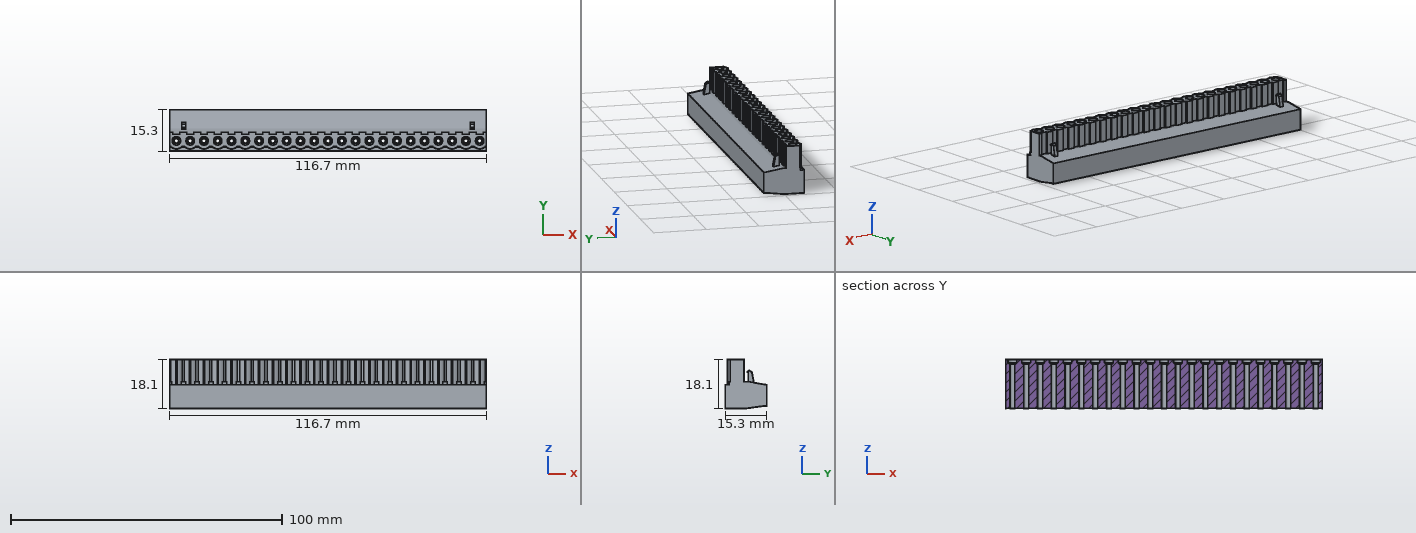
import cadquery as cq
import math

length = 116.73
depth = 15.33
height = 18.15

pole_count = 23
pitch = 5.08
end_margin = (length - (pole_count - 1) * pitch) / 2
pole_positions = [end_margin + index * pitch for index in range(pole_count)]

ledge_z = 8.8
deck_z = 9.9
deck_rear_y = 8.45
deck_slope = math.radians(9.5)
rear_top_z = deck_z - (depth - deck_rear_y) * math.tan(deck_slope)
underside_slope_start_y = 7.8
underside_slope_end_y = 14.0
rear_bottom_z = 0.85

valley_front_y = 1.76
web_front_y = 1.4
tower_rear_y = 6.95
rear_notch_depth = 0.7
rear_notch_width = pitch / 2
hole_y = 3.8
lobe_radius = 2.95
rib_width = 0.5
rib_front_y = 0.7

hole_diameter = 1.7
bore_diameter = 3.1
bore_depth = 1.2

hook_width = 1.5
hook_end_offset = 4.4
hook_root_rear_y = 10.6
hook_shoulder_rear_y = 9.85
hook_tip_y = 8.8
hook_barb_y = 8.05
hook_front_y = 8.4
hook_shoulder_z = 13.4
hook_tip_z = 14.1
hook_embed_z = ledge_z


def extrude_profile(points, start_x, width):
    """Extrude a closed (Y, Z) outline along +X from start_x."""
    return cq.Workplane("YZ").workplane(offset=start_x).polyline(points).close().extrude(width)


def box_between(x_range, y_range, z_range):
    """Axis-aligned box given by its lower and upper limits."""
    sizes = [upper - lower for lower, upper in (x_range, y_range, z_range)]
    corner = (x_range[0], y_range[0], z_range[0])
    return cq.Workplane("XY").box(*sizes, centered=False).translate(corner)


def make_base():
    outline = [
        (0, 0),
        (underside_slope_start_y, 0),
        (underside_slope_end_y, rear_bottom_z),
        (depth, rear_bottom_z),
        (depth, rear_top_z),
        (deck_rear_y, deck_z),
        (tower_rear_y, deck_z),
        (tower_rear_y, ledge_z),
        (0, ledge_z),
    ]
    return extrude_profile(outline, 0, length)


def lobe_half_width(front_y):
    """Half the width along X of a round lobe where it crosses the plane Y = front_y."""
    return math.sqrt(lobe_radius**2 - (hole_y - front_y) ** 2)


def make_lobe(center_x):
    """Round front of one pole, standing out from the valleys, with a narrow rib at its tip."""
    half_width = lobe_half_width(valley_front_y)
    lobe_height = height - ledge_z
    lobe = (
        cq.Workplane("XY").workplane(offset=ledge_z)
        .moveTo(center_x - half_width, valley_front_y)
        .threePointArc((center_x, hole_y - lobe_radius), (center_x + half_width, valley_front_y))
        .lineTo(center_x + half_width, hole_y)
        .lineTo(center_x - half_width, hole_y)
        .close()
        .extrude(lobe_height)
    )
    rib = box_between(
        (center_x - rib_width / 2, center_x + rib_width / 2), (rib_front_y, hole_y), (ledge_z, height)
    )
    return lobe.union(rib)


def make_tower_row():
    """Tower wall with its low front web and one lobe per pole."""
    tower = box_between((0, length), (valley_front_y, tower_rear_y), (ledge_z, height))
    row = tower.union(box_between((0, length), (web_front_y, tower_rear_y), (ledge_z, deck_z)))
    for x in pole_positions:
        row = row.union(make_lobe(x))
    return row


def make_rear_notches():
    """Recesses in the rear face of the tower row, one behind each hole."""
    notch_centers = [(x, tower_rear_y) for x in pole_positions]
    return (
        cq.Workplane("XY").workplane(offset=deck_z)
        .pushPoints(notch_centers).rect(rear_notch_width, 2 * rear_notch_depth).extrude(height - deck_z)
    )


def make_hook(start_x):
    outline = [
        (hook_front_y, hook_embed_z),
        (hook_root_rear_y, hook_embed_z),
        (hook_root_rear_y, deck_z - (hook_root_rear_y - deck_rear_y) * math.tan(deck_slope)),
        (hook_shoulder_rear_y, hook_shoulder_z),
        (hook_tip_y, hook_tip_z),
        (hook_barb_y, hook_shoulder_z),
        (hook_front_y, hook_shoulder_z),
    ]
    return extrude_profile(outline, start_x, hook_width)


def cut_screw_holes(body):
    """Through holes along Z, each opening through a cone into a wider bore at the top."""
    funnel_z = height - bore_depth
    funnel_depth = (bore_diameter - hole_diameter) / 2
    outline = [
        (0, 0),
        (hole_diameter / 2, 0),
        (hole_diameter / 2, funnel_z - funnel_depth),
        (bore_diameter / 2, funnel_z),
        (bore_diameter / 2, height),
        (0, height),
    ]
    cutter = cq.Workplane("XZ").polyline(outline).close().revolve(360, (0, 0), (0, 1))
    for x in pole_positions:
        body = body.cut(cutter.translate((x, hole_y, 0)))
    return body


body = make_base().union(make_tower_row()).cut(make_rear_notches())
for hook_start_x in (hook_end_offset, length - hook_end_offset - hook_width):
    body = body.union(make_hook(hook_start_x))
result = cut_screw_holes(body)